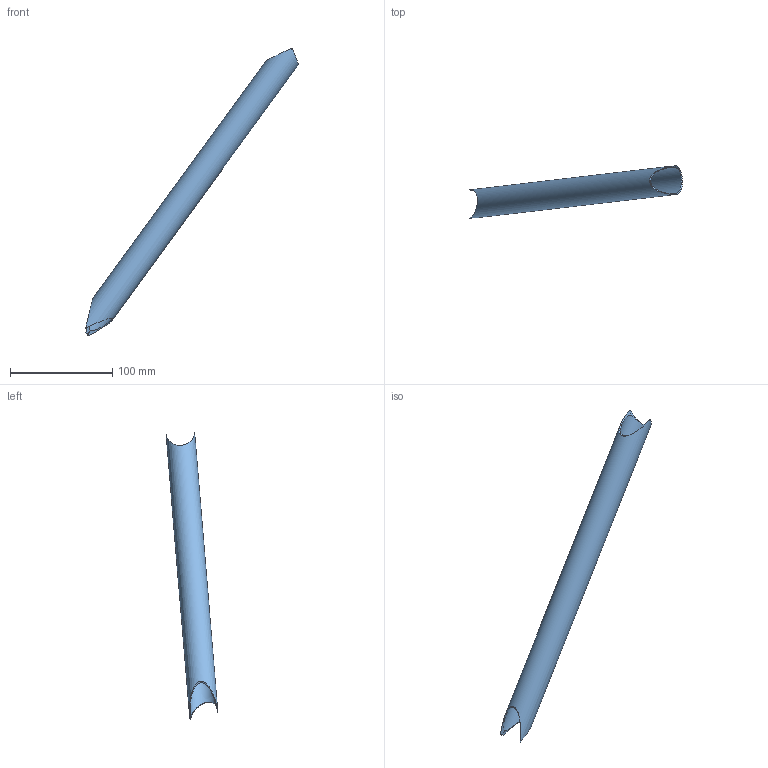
import cadquery as cq
TUBE_RADIUS = 14.0
WALL = 1.0
AXIS = cq.Vector(0.7296, 0.0836, 1.0).normalized()

LOWER_NODE_DISTANCE = -171.63
UPPER_NODE_DISTANCE = 173.30

LOWER_NEIGHBOURS = [
    cq.Vector(0.164, -0.100, -0.980),
    cq.Vector(0.980, -0.194, 0.026),
]
UPPER_NEIGHBOURS = [
    cq.Vector(0.980, -0.006, -0.202),
    cq.Vector(0.980, -0.007, -0.072),
]

COPE_CLEARANCE = 0.014
COPE_RADIUS = TUBE_RADIUS + COPE_CLEARANCE
COPE_HALF_LENGTH = 5 * TUBE_RADIUS


def cylinder(radius, start, direction, length):
    """Solid cylinder running from a start point along a direction."""
    return cq.Workplane(cq.Solid.makeCylinder(radius, length, start, direction))


def plain_tube():
    """Square-ended tube reaching from node to node."""
    start = AXIS * LOWER_NODE_DISTANCE
    length = UPPER_NODE_DISTANCE - LOWER_NODE_DISTANCE
    outside = cylinder(TUBE_RADIUS, start, AXIS, length)
    bore = cylinder(TUBE_RADIUS - WALL, start, AXIS, length)
    return outside.cut(bore)


def cope(tube, node_distance, neighbours):
    """Cut the envelope of every neighbouring tube out of the end at a node."""
    node = AXIS * node_distance
    for neighbour in neighbours:
        direction = neighbour.normalized()
        start = node - direction * COPE_HALF_LENGTH
        tube = tube.cut(cylinder(COPE_RADIUS, start, direction, 2 * COPE_HALF_LENGTH))
    return tube


coped = cope(plain_tube(), LOWER_NODE_DISTANCE, LOWER_NEIGHBOURS)
coped = cope(coped, UPPER_NODE_DISTANCE, UPPER_NEIGHBOURS)
result = cq.Workplane(coped.val())